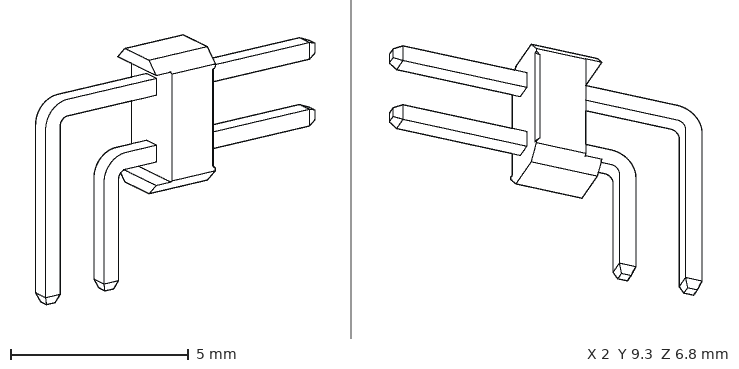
import cadquery as cq
import math

pitch = 2.0

block_width = pitch
block_depth = pitch
block_height = 2 * pitch
block_chamfer = 0.4
recess_depth = 0.5
cap_thickness = 0.35

bevel_width = 0.1
bevel_depth = 0.1
bevel_end_gap = 0.48

pin_size = 0.5
inner_radius = 0.25
outer_radius = inner_radius + pin_size
back_reach = 4
total_depth = 9.3
total_height = 6.8
tip_length = 0.26
tip_inset = 0.1

upper_pin_front = back_reach - total_depth
pin_bottom = block_height / 2 - total_height


def make_block():
    body = (
        cq.Workplane("XY")
        .box(block_width, block_depth, block_height)
        .translate((0, -block_depth / 2, 0))
        .edges("|Y")
        .chamfer(block_chamfer)
    )
    recess = cq.Workplane("XY").box(
        block_width, recess_depth, block_height - 2 * cap_thickness
    ).translate((0, recess_depth / 2 - block_depth, 0))
    body = body.cut(recess)
    for side in (-1, 1):
        body = body.cut(make_bevel(side))
    return body


def make_bevel(side):
    """Wedge along a back vertical edge, trimmed by 45 degree end faces."""
    edge_x = side * block_width / 2
    half_length = block_height / 2 - bevel_end_gap
    wedge = (
        cq.Workplane("XY")
        .moveTo(edge_x, 0)
        .lineTo(edge_x - side * bevel_width, 0)
        .lineTo(edge_x, -bevel_depth)
        .close()
        .extrude(half_length, both=True)
    )
    trim = (
        cq.Workplane("YZ")
        .moveTo(0, -half_length)
        .lineTo(0, half_length)
        .lineTo(-bevel_depth, half_length - bevel_depth)
        .lineTo(-bevel_depth, -half_length + bevel_depth)
        .close()
        .extrude(block_width, both=True)
    )
    return wedge.intersect(trim)


def make_tip(plane):
    """Tapered pin end growing along the plane normal."""
    taper = math.degrees(math.atan(tip_inset / tip_length))
    return cq.Workplane(plane).rect(pin_size, pin_size).extrude(tip_length, taper=taper)


def make_pin(center_z, front_y):
    top = center_z + pin_size / 2
    underside = center_z - pin_size / 2
    rear_y = front_y + pin_size
    bend_y = front_y + outer_radius
    bend_z = top - outer_radius
    shank_back = back_reach - tip_length
    shank_bottom = pin_bottom + tip_length
    diagonal = math.sqrt(0.5)
    shank = (
        cq.Workplane("YZ")
        .moveTo(shank_back, top)
        .lineTo(bend_y, top)
        .threePointArc(
            (bend_y - outer_radius * diagonal, bend_z + outer_radius * diagonal),
            (front_y, bend_z),
        )
        .lineTo(front_y, shank_bottom)
        .lineTo(rear_y, shank_bottom)
        .lineTo(rear_y, bend_z)
        .threePointArc(
            (bend_y - inner_radius * diagonal, bend_z + inner_radius * diagonal),
            (bend_y, underside),
        )
        .lineTo(shank_back, underside)
        .close()
        .extrude(pin_size / 2, both=True)
    )
    back_end = cq.Plane(origin=(0, shank_back, center_z), xDir=(1, 0, 0), normal=(0, 1, 0))
    lower_end = cq.Plane(
        origin=(0, front_y + pin_size / 2, shank_bottom), xDir=(1, 0, 0), normal=(0, 0, -1)
    )
    return shank.union(make_tip(back_end)).union(make_tip(lower_end))


upper_pin = make_pin(pitch / 2, upper_pin_front)
lower_pin = make_pin(-pitch / 2, upper_pin_front + pitch)
result = make_block().union(upper_pin).union(lower_pin)